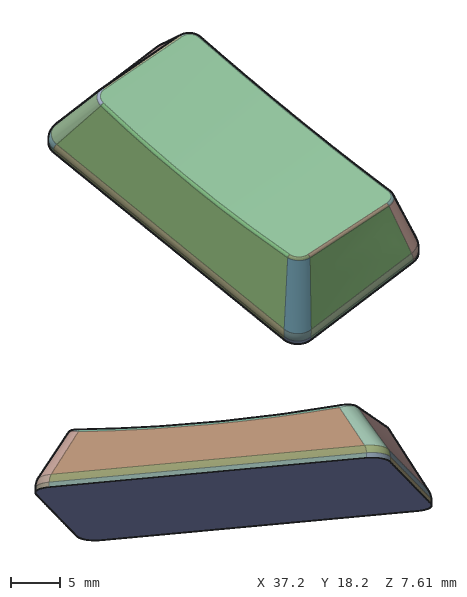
import cadquery as cq
import math

length = 37.2
width = 18.15
corner_radius = 1.95

band_height = 0.55
shoulder_rise = 0.82
shoulder_steps = 3
side_lean = 28.5
front_lean = 29.0
back_lean = 4.5

crown_front_height = 8.2
crown_back_height = 6.65
crown_corner_radius = 1.55

dish_radius = 174.9
dish_depth = 1.15
rim_radius = 0.37


def wall_inset(lean, z):
    """Distance a wall with this final lean has moved inward at height z."""
    angle = math.radians(lean)
    shoulder_radius = shoulder_rise / math.sin(angle)
    rise = min(max(z - band_height, 0), shoulder_rise)
    rounded = shoulder_radius - math.sqrt(shoulder_radius**2 - rise**2)
    straight = max(z - band_height - shoulder_rise, 0) * math.tan(angle)
    return rounded + straight


crown_front_y = -width / 2 + wall_inset(front_lean, crown_front_height)
crown_back_y = width / 2 - wall_inset(back_lean, crown_back_height)
crown_run = crown_back_y - crown_front_y
crown_fall = crown_front_height - crown_back_height
crown_plane = cq.Plane(
    origin=(0, (crown_front_y + crown_back_y) / 2, (crown_front_height + crown_back_height) / 2),
    xDir=(1, 0, 0),
    normal=(0, crown_fall, crown_run),
)


def rounded_rectangle(plane, x_size, y_size, radius):
    """Closed rounded rectangle centred on the plane's origin."""
    outline = cq.Sketch().rect(x_size, y_size).vertices().fillet(radius)
    return outline.reset().faces().val().outerWire().moved(plane.location)


def level_ring(z):
    """Outline of the band or shoulder at height z."""
    front_y = -width / 2 + wall_inset(front_lean, z)
    back_y = width / 2 - wall_inset(back_lean, z)
    x_size = length - 2 * wall_inset(side_lean, z)
    plane = cq.Plane(origin=(0, (front_y + back_y) / 2, z))
    return rounded_rectangle(plane, x_size, back_y - front_y, corner_radius)


def make_blank():
    """Band, shoulder and leaning walls, up to the crown."""
    shoulder_rings = [
        level_ring(band_height + shoulder_rise * step / shoulder_steps)
        for step in range(shoulder_steps + 1)
    ]
    crown_ring = rounded_rectangle(
        crown_plane,
        length - 2 * wall_inset(side_lean, crown_front_height),
        math.hypot(crown_run, crown_fall),
        crown_corner_radius,
    )
    band = cq.Solid.makeLoft([level_ring(0), shoulder_rings[0]], True)
    shoulder = cq.Solid.makeLoft(shoulder_rings)
    walls = cq.Solid.makeLoft([shoulder_rings[-1], crown_ring], True)
    return cq.Workplane(band).union(cq.Workplane(shoulder)).union(cq.Workplane(walls))


def make_dish():
    """Cylinder lying along the crown's slope, dish_depth deep on the centre line."""
    axis_plane = cq.Plane(
        origin=crown_plane.origin,
        xDir=(1, 0, 0),
        normal=(0, -crown_run, crown_fall),
    )
    return (
        cq.Workplane(axis_plane)
        .center(0, dish_radius - dish_depth)
        .circle(dish_radius)
        .extrude(width, both=True)
    )


body = make_blank().cut(make_dish())
result = body.faces("%CYLINDER").faces(">Z").edges().fillet(rim_radius)